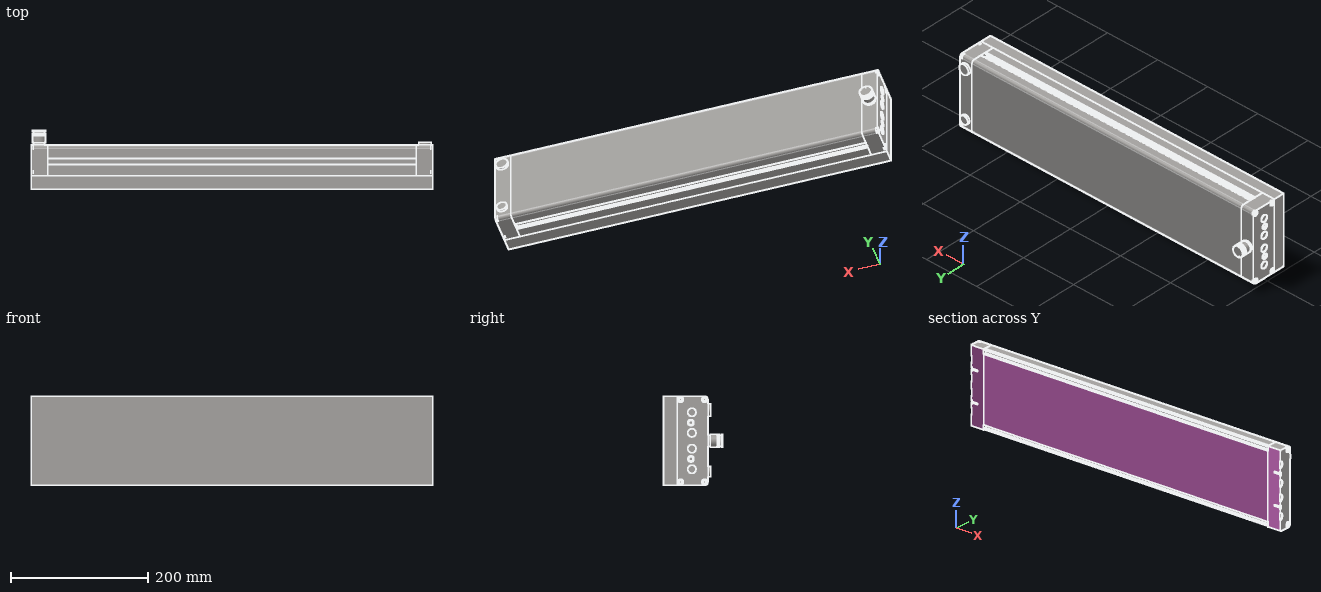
import cadquery as cq

LENGTH = 586.0
HEIGHT = 130.0
PANEL_DEPTH = 20.0
BACK_Y = 65.0
CAP_WIDTH = 24.0
EDGE_RADIUS = 5.0

SLOT_Y = 40.5
SLOT_MOUTH = 10.0
SLOT_NECK = 8.0
LIP_DEPTH = 1.0
NECK_DEPTH = 2.5
SLOT_WIDTH = 14.0
SLOT_DEPTH = 8.0

SCREW_INSET = 5.0
SCREW_BORE = 8.0
SCREW_BORE_DEPTH = 3.0
SOCKET_DIAMETER = 4.5
SOCKET_DEPTH = 6.0

PORT_DIAMETER = 12.0
PORT_DEPTH = 1.0
PORT_Y = 41.5
PORT_HEIGHTS = (11.5, 41.5)
MOUNT_Y = 40.0
MOUNT_HEIGHT = 26.5
MOUNT_BORE = 9.0
MOUNT_BORE_DEPTH = 1.5
MOUNT_HOLE = 6.5
MOUNT_HOLE_DEPTH = 12.0

FITTING_INSET = 11.4

CONNECTOR_END_Y = 86.2
CONNECTOR_DIAMETER = 19.2
CONNECTOR_NECK = 16.5
CONNECTOR_STEPS = (
    (CONNECTOR_NECK, 68.0),
    (CONNECTOR_DIAMETER, 78.4),
    (CONNECTOR_NECK, 80.2),
    (CONNECTOR_DIAMETER, 81.2),
    (CONNECTOR_NECK, 84.2),
    (CONNECTOR_DIAMETER, CONNECTOR_END_Y),
)

PLUG_HEIGHT = 45.0
PLUG_THICKNESS = 4.0
UPPER_PLUG_DIAMETER = 18.5
LOWER_PLUG_DIAMETER = 15.5

FITTING_X = LENGTH / 2 - FITTING_INSET


def box(x_start, x_end, y_start, y_end):
    """Full-height block between the given X and Y limits."""
    size_x = x_end - x_start
    size_y = y_end - y_start
    block = cq.Workplane("XY").box(size_x, size_y, HEIGHT)
    return block.translate(((x_start + x_end) / 2, (y_start + y_end) / 2, 0))


def housing_section(x_start, x_end):
    """Stretch of the housing behind the panel, with rounded back edges."""
    return box(x_start, x_end, PANEL_DEPTH, BACK_Y).edges("|X and >Y").fillet(EDGE_RADIUS)


def rod_y(diameter, x, y_start, y_end, z):
    """Cylinder along Y."""
    axis = cq.Vector(0, 1, 0)
    start = cq.Vector(x, y_start, z)
    return cq.Workplane(cq.Solid.makeCylinder(diameter / 2, y_end - y_start, start, axis))


def make_panel():
    return box(-LENGTH / 2, LENGTH / 2, 0, PANEL_DEPTH)


def make_profile():
    half_length = LENGTH / 2 - CAP_WIDTH
    top = HEIGHT / 2
    slot = (
        cq.Workplane("YZ", origin=(-half_length, SLOT_Y, 0))
        .moveTo(-SLOT_MOUTH / 2, top)
        .lineTo(-SLOT_NECK / 2, top - LIP_DEPTH)
        .lineTo(-SLOT_NECK / 2, top - NECK_DEPTH)
        .lineTo(-SLOT_WIDTH / 2, top - NECK_DEPTH)
        .lineTo(-SLOT_WIDTH / 2, top - SLOT_DEPTH)
        .lineTo(SLOT_WIDTH / 2, top - SLOT_DEPTH)
        .lineTo(SLOT_WIDTH / 2, top - NECK_DEPTH)
        .lineTo(SLOT_NECK / 2, top - NECK_DEPTH)
        .lineTo(SLOT_NECK / 2, top - LIP_DEPTH)
        .lineTo(SLOT_MOUTH / 2, top)
        .close()
        .extrude(2 * half_length)
    )
    profile = housing_section(-half_length, half_length)
    return profile.cut(slot).cut(slot.mirror("XY"))


def make_plain_cap():
    """Left end cap with its outer face at -X, drilled from that face."""
    outer_x = -LENGTH / 2
    cap = housing_section(outer_x, outer_x + CAP_WIDTH)

    def drill(body, points, diameter, depth):
        cutter = (
            cq.Workplane("YZ", origin=(outer_x, 0, 0))
            .pushPoints(points)
            .circle(diameter / 2)
            .extrude(depth)
        )
        return body.cut(cutter)

    screw_z = HEIGHT / 2 - SCREW_INSET
    screw_rows = (PANEL_DEPTH + SCREW_INSET, BACK_Y - SCREW_INSET)
    screws = [(y, side * screw_z) for y in screw_rows for side in (-1, 1)]
    ports = [(PORT_Y, side * z) for z in PORT_HEIGHTS for side in (-1, 1)]
    mounts = [(MOUNT_Y, side * MOUNT_HEIGHT) for side in (-1, 1)]

    cap = drill(cap, screws, SCREW_BORE, SCREW_BORE_DEPTH)
    cap = drill(cap, screws, SOCKET_DIAMETER, SOCKET_DEPTH)
    cap = drill(cap, ports, PORT_DIAMETER, PORT_DEPTH)
    cap = drill(cap, mounts, MOUNT_BORE, MOUNT_BORE_DEPTH)
    return drill(cap, mounts, MOUNT_HOLE, MOUNT_HOLE_DEPTH)


def make_connector_cap():
    cap = make_plain_cap()
    start_y = BACK_Y
    for diameter, end_y in CONNECTOR_STEPS:
        cap = cap.union(rod_y(diameter, -FITTING_X, start_y, end_y, 0))
        start_y = end_y
    return cap


def make_plug_cap():
    cap = make_plain_cap().mirror("YZ")
    plug_end_y = BACK_Y + PLUG_THICKNESS
    upper = rod_y(UPPER_PLUG_DIAMETER, FITTING_X, BACK_Y, plug_end_y, PLUG_HEIGHT)
    lower = rod_y(LOWER_PLUG_DIAMETER, FITTING_X, BACK_Y, plug_end_y, -PLUG_HEIGHT)
    return cap.union(upper).union(lower)


panel = make_panel()
profile = make_profile()
connector_cap = make_connector_cap()
plug_cap = make_plug_cap()

result = cq.Compound.makeCompound([
    panel.val(),
    profile.val(),
    connector_cap.val(),
    plug_cap.val(),
])